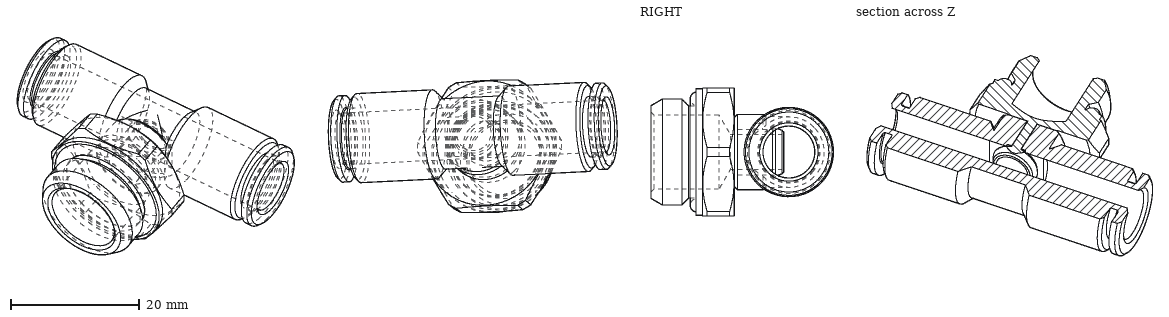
import cadquery as cq
import math


run_length = 43.4
half_run = run_length / 2
barrel_radius = 7.0
barrel_end = 18.8
barrel_chamfer = 0.5
waist_radius = 5.5
waist_half_length = 4.65
shoulder_height = barrel_radius - waist_radius

collar_radius = 6.75
collar_thickness = 1.5
collar_chamfer = 0.5
collar_neck_radius = 4.75
collar_root_width = 0.2
collar_root_height = 0.15
tube_bore_radius = 4.05
tube_mouth_radius = 4.55
tube_mouth_depth = 0.5

branch_radius = 5.9
branch_end = 8.5
branch_chamfer = 0.48
branch_cone_start = 3.55
branch_cone_end = 4.05
floor_reach = 2.5

hex_across_flats = 20.0
hex_corner_radius = 11.15
hex_chamfer_radius = 9.9
hex_chamfer_angle = 30.0
hex_thickness = 5.0
hex_end = branch_end + hex_thickness

flange_radius = 9.9
flange_end = 14.5
seal_center_radius = 8.35
seal_center_reach = 14.35
seal_section_radius = 1.05

groove_radius = 7.2
groove_end = 15.62
thread_radius = 8.3
thread_start = 16.7
thread_end = 19.75
thread_tip_radius = 7.25
stud_end = 21.53

stem_radius = 3.55
barb_radius = 3.8
barb_reach = 2.1
tip_radius = 3.12
tip_reach = 0.8
tip_chamfer = 0.3

stem_bore_radius = 2.75
stud_bore_radius = 5.77
bore_mouth_radius = 6.25
bore_mouth_depth = 0.48
bore_cone_start = 9.1
bore_cone_angle = 30.0


def turn_about_x(profile):
    """Solid of revolution about X from (x, radius) points."""
    return cq.Workplane("XY").polyline(profile).close().revolve(360, (0, 0, 0), (1, 0, 0))


def turn_about_branch(profile):
    """Solid of revolution about the branch axis from (radius, reach) points."""
    points = [(radius, -reach) for radius, reach in profile]
    return cq.Workplane("XY").polyline(points).close().revolve(360, (0, 0, 0), (0, 1, 0))


def run_outside():
    collar_back = half_run - collar_thickness
    right_half = [
        (waist_half_length, waist_radius),
        (waist_half_length + shoulder_height, barrel_radius),
        (barrel_end - barrel_chamfer, barrel_radius),
        (barrel_end, barrel_radius - barrel_chamfer),
        (barrel_end, collar_neck_radius),
        (collar_back - collar_root_width, collar_neck_radius),
        (collar_back, collar_neck_radius + collar_root_height),
        (collar_back, collar_radius),
        (half_run - collar_chamfer, collar_radius),
        (half_run, collar_radius - collar_chamfer),
        (half_run, 0),
    ]
    left_half = [(-x, radius) for x, radius in reversed(right_half)]
    return turn_about_x(left_half + right_half)


def branch_outside():
    return turn_about_branch([
        (0, 0),
        (waist_radius, 0),
        (waist_radius, branch_cone_start),
        (branch_radius, branch_cone_end),
        (branch_radius, branch_end - branch_chamfer),
        (branch_radius - branch_chamfer, branch_end),
        (0, branch_end),
    ])


def run_bore():
    """Tube bore through the run, less the flat floor left standing between the two sockets."""
    mouth_start = half_run - tube_mouth_depth
    bore = turn_about_x([
        (-half_run, 0),
        (-half_run, tube_mouth_radius),
        (-mouth_start, tube_bore_radius),
        (mouth_start, tube_bore_radius),
        (half_run, tube_mouth_radius),
        (half_run, 0),
    ])
    floor = cq.Workplane("XY").box(
        2 * waist_half_length, barrel_radius, 2 * barrel_radius, centered=(True, False, True)
    ).translate((0, -floor_reach - barrel_radius, 0))
    return bore.cut(floor)


def stem_hole():
    """Hole for the stem, widened above the floor so that the barb clears the tee."""
    return turn_about_branch([
        (0, 0),
        (barb_radius, 0),
        (barb_radius, floor_reach),
        (stem_radius, floor_reach),
        (stem_radius, branch_end),
        (0, branch_end),
    ])


def make_tee():
    return run_outside().union(branch_outside()).cut(run_bore()).cut(stem_hole())


def hexagon():
    """Hexagon with flats facing +Z and -Z, its corners rounded and both faces chamfered."""
    across_corners = hex_across_flats / math.cos(math.radians(30))
    prism = (
        cq.Workplane("XZ", origin=(0, -branch_end, 0))
        .polygon(6, across_corners)
        .extrude(hex_thickness)
    )
    chamfer_depth = (hex_corner_radius - hex_chamfer_radius) * math.tan(math.radians(hex_chamfer_angle))
    envelope = turn_about_branch([
        (0, branch_end),
        (hex_chamfer_radius, branch_end),
        (hex_corner_radius, branch_end + chamfer_depth),
        (hex_corner_radius, hex_end - chamfer_depth),
        (hex_chamfer_radius, hex_end),
        (0, hex_end),
    ])
    return prism.intersect(envelope)


def stem():
    return turn_about_branch([
        (0, tip_reach),
        (tip_radius, tip_reach),
        (tip_radius + tip_chamfer, tip_reach + tip_chamfer),
        (barb_radius, barb_reach),
        (stem_radius, floor_reach),
        (stem_radius, branch_end),
        (0, branch_end),
    ])


def threaded_end():
    return turn_about_branch([
        (0, hex_end),
        (flange_radius, hex_end),
        (flange_radius, flange_end),
        (groove_radius, flange_end),
        (groove_radius, groove_end),
        (thread_radius, thread_start),
        (thread_radius, thread_end),
        (thread_tip_radius, stud_end),
        (0, stud_end),
    ])


def seal_ring():
    return (
        cq.Workplane("XY")
        .center(seal_center_radius, -seal_center_reach)
        .circle(seal_section_radius)
        .revolve(360, (-seal_center_radius, 0, 0), (-seal_center_radius, 1, 0))
    )


def stud_bore():
    cone_length = (stud_bore_radius - stem_bore_radius) * math.tan(math.radians(bore_cone_angle))
    return turn_about_branch([
        (0, tip_reach),
        (stem_bore_radius, tip_reach),
        (stem_bore_radius, bore_cone_start),
        (stud_bore_radius, bore_cone_start + cone_length),
        (stud_bore_radius, stud_end - bore_mouth_depth),
        (bore_mouth_radius, stud_end),
        (0, stud_end),
    ])


def make_stud():
    return hexagon().union(stem()).union(threaded_end()).union(seal_ring()).cut(stud_bore())


tee = make_tee()
stud = make_stud()

result = cq.Compound.makeCompound([tee.val(), stud.val()])